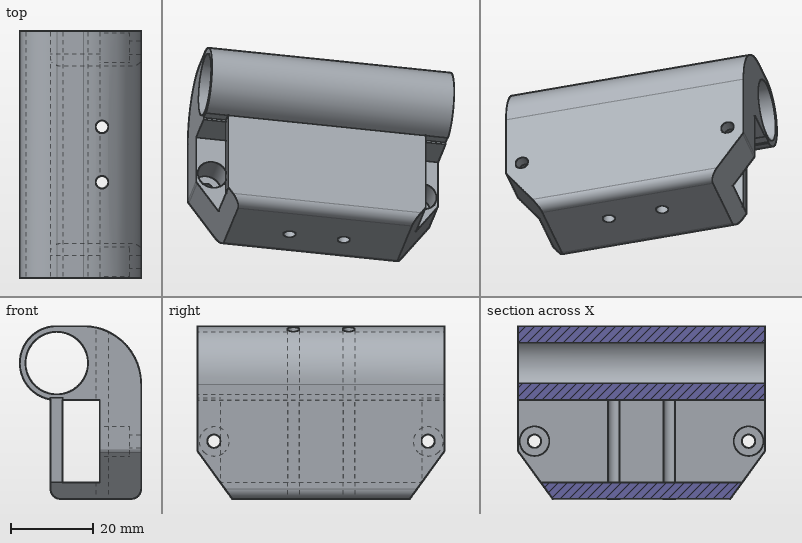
import cadquery as cq

width = 29.5
length = 60.0
height = 42.0
half_length = length / 2

tube_radius = 9.0
bore_diameter = 15.1
shoulder_radius = 14.1
tube_axis_x = tube_radius
tube_axis_z = height - tube_radius
tube_bottom_z = height - 2 * tube_radius

housing_left_x = 7.45
wall_thickness = 3.0
slot_left_x = housing_left_x + wall_thickness
slot_right_x = 19.4
slot_floor_z = 4.0
bottom_fillet = 2.5

slope_run = 8.45
slope_top_z = 11.65
slope_fillet = 1.0

opening_depth = slope_run * (1 - slot_floor_z / slope_top_z)
opening_relief = 0.55

screw_diameter = 3.2
counterbore_diameter = 7.2
counterbore_depth = 7.2
screw_inset = 4.0
screw_z = 14.05

cross_hole_diameter = 3.0
cross_hole_x = 20.0
cross_hole_spacing = 13.45


def extrude_along_length(outline):
    return outline.extrude(half_length, both=True)


def tube_body():
    profile = (
        cq.Workplane("XZ")
        .moveTo(tube_axis_x, height)
        .lineTo(width - shoulder_radius, height)
        .radiusArc((width, height - shoulder_radius), shoulder_radius)
        .lineTo(width, tube_bottom_z)
        .lineTo(tube_axis_x, tube_bottom_z)
        .threePointArc((0, tube_axis_z), (tube_axis_x, height))
        .close()
    )
    return extrude_along_length(profile)


def housing():
    merge_z = height - shoulder_radius
    profile = cq.Workplane("XZ").moveTo(housing_left_x, 0).lineTo(width, 0)
    profile = profile.lineTo(width, merge_z).lineTo(housing_left_x, merge_z).close()
    block = extrude_along_length(profile).edges("|Y and <Z").fillet(bottom_fillet)
    side_outline = (
        cq.Workplane("YZ")
        .moveTo(half_length - slope_run, 0)
        .lineTo(half_length, slope_top_z)
        .lineTo(half_length, height)
        .lineTo(-half_length, height)
        .lineTo(-half_length, slope_top_z)
        .lineTo(-half_length + slope_run, 0)
        .close()
        .extrude(width)
    )
    corner_finder = cq.selectors.BoxSelector(
        (-width, -length, slope_top_z - slope_fillet),
        (2 * width, length, slope_top_z + slope_fillet),
    )
    side_outline = side_outline.edges("|X").edges(corner_finder).fillet(slope_fillet)
    return block.intersect(side_outline)


def bore():
    outline = cq.Workplane("XZ").center(tube_axis_x, tube_axis_z).circle(bore_diameter / 2)
    return extrude_along_length(outline)


def slot():
    return cq.Workplane("XY").box(
        slot_right_x - slot_left_x, length, tube_bottom_z - slot_floor_z, centered=(False, True, False)
    ).translate((slot_left_x, 0, slot_floor_z))


def end_opening(end):
    return cq.Workplane("XY").box(
        wall_thickness, opening_depth, tube_bottom_z + opening_relief - slot_floor_z,
        centered=(False, True, False),
    ).translate((housing_left_x, end * (half_length - opening_depth / 2), slot_floor_z))


def screw_hole(end):
    seat = cq.Workplane("YZ", origin=(slot_right_x, end * (half_length - screw_inset), screw_z))
    counterbore = seat.circle(counterbore_diameter / 2).extrude(counterbore_depth)
    return seat.circle(screw_diameter / 2).extrude(width - slot_right_x).union(counterbore)


def cross_hole(end):
    return (
        cq.Workplane("XY")
        .center(cross_hole_x, end * cross_hole_spacing / 2)
        .circle(cross_hole_diameter / 2)
        .extrude(height)
    )


result = tube_body().union(housing()).cut(bore()).cut(slot())
for end in (-1, 1):
    result = result.cut(end_opening(end)).cut(screw_hole(end)).cut(cross_hole(end))